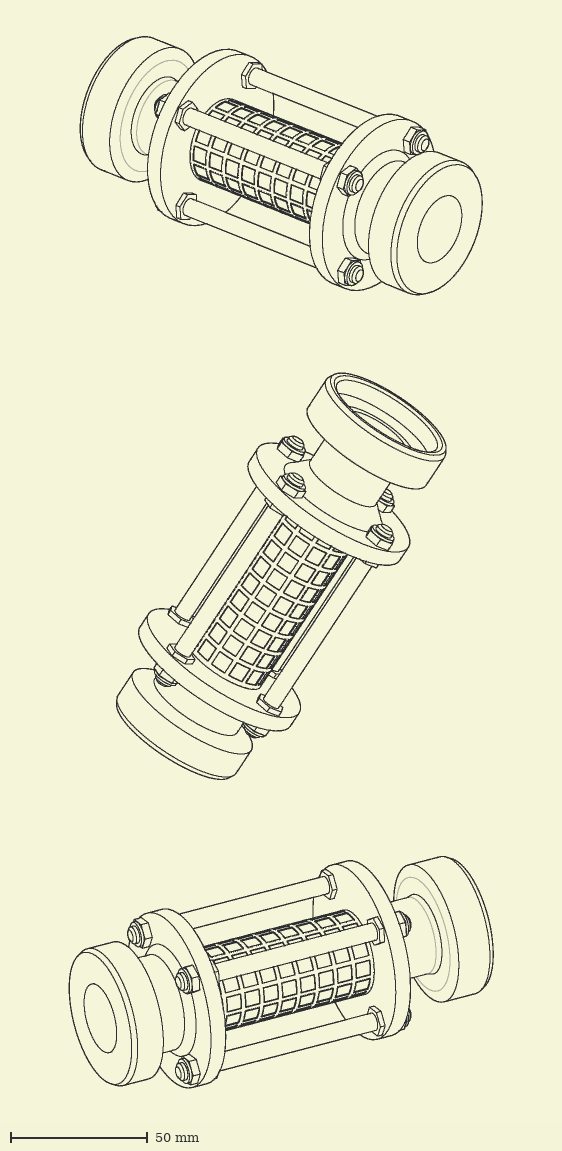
import cadquery as cq
import math

total_length = 149.0
bore_radius = 13.0

flange_radius = 33.0
flange_thickness = 6.1
left_flange_x = 38.3
flange_gap = 70.0
left_inner_face = left_flange_x + flange_thickness
right_inner_face = left_inner_face + flange_gap
right_outer_face = right_inner_face + flange_thickness
flare_radius = 21.2

ring_radius = 26.0
ring_end_radius = 24.9
ring_chamfer_length = 2.0
nut_shoulder_x = 14.8
nut_length = 16.1
nut_back_radius = 21.5
nut_mouth_radius = 23.2
thread_radius = 21.8
mouth_chamfer_length = 0.9
thread_end_x = 7.0
relief_radius = 23.2

liner_pipe_radius = 14.5
liner_nose_x = 8.5
liner_nose_radius = 16.0
liner_nose_base_radius = 17.0
collar_x = 12.8
collar_thickness = 1.3
collar_back_x = collar_x + collar_thickness
neck_radius = 15.0
neck_end_x = 18.2
liner_flare_x = left_flange_x - (flare_radius - liner_pipe_radius)

male_pipe_radius = 18.0
male_flare_end_x = right_outer_face + flare_radius - male_pipe_radius
male_ring_x = 136.5
male_cone_length = 2.5

glass_radius = 15.5
cage_radius = 16.0
window_size = 5.8
window_pitch = 7.6
window_rows = 9
windows_around = 13
first_window_x = left_inner_face + 1.5

bolt_count = 4
bolt_circle_radius = 27.0
bolt_radius = 3.3
bolt_tip_radius = 2.2
bolt_tip_length = 0.9
bolt_overhang = 6.3
hex_across_flats = 9.5
hex_turn = 9.0
outer_hex_height = 3.0
inner_hex_height = 2.0
hex_boss_radius = 4.6
hex_boss_height = 1.0


def revolve_about_x(points):
    """Revolve a closed profile of (x, radius) points about the X axis."""
    return cq.Workplane("XY").polyline(points).close().revolve(360, (0, 0, 0), (1, 0, 0))


def x_cylinder(radius, start, end, y=0.0, z=0.0):
    return cq.Workplane("YZ", origin=(start, y, z)).circle(radius).extrude(end - start)


def x_tube(outer_radius, inner_radius, start, end):
    plane = cq.Workplane("YZ", origin=(start, 0, 0))
    return plane.circle(outer_radius).circle(inner_radius).extrude(end - start)


def drill_bolt_holes(body):
    for index in range(bolt_count):
        y, z = bolt_position(index)
        body = body.cut(x_cylinder(bolt_radius, left_flange_x, right_outer_face, y, z))
    return body


def bolt_angle(index):
    return 45.0 + index * 360.0 / bolt_count


def bolt_position(index):
    angle = math.radians(bolt_angle(index))
    return bolt_circle_radius * math.cos(angle), bolt_circle_radius * math.sin(angle)


def make_union_nut():
    return revolve_about_x([
        (0, nut_mouth_radius),
        (0, ring_end_radius),
        (ring_chamfer_length, ring_radius),
        (nut_shoulder_x, ring_radius),
        (nut_length, nut_back_radius),
        (nut_length, neck_radius),
        (collar_back_x, neck_radius),
        (collar_back_x, relief_radius),
        (thread_end_x, relief_radius),
        (thread_end_x, thread_radius),
        (mouth_chamfer_length, thread_radius),
    ])


def make_liner():
    """Left pipe end with its nose, the collar behind the nut, the flare and the flange."""
    liner = revolve_about_x([
        (liner_nose_x, bore_radius),
        (liner_nose_x, liner_nose_radius),
        (collar_x, liner_nose_base_radius),
        (collar_x, relief_radius),
        (collar_back_x, relief_radius),
        (collar_back_x, neck_radius),
        (nut_length, neck_radius),
        (neck_end_x, liner_pipe_radius),
        (liner_flare_x, liner_pipe_radius),
        (left_flange_x, flare_radius),
        (left_flange_x, flange_radius),
        (left_inner_face, flange_radius),
        (left_inner_face, bore_radius),
    ])
    return drill_bolt_holes(liner)


def make_male_end():
    """Right flange with its flare, pipe and threaded ring."""
    male_end = revolve_about_x([
        (right_inner_face, bore_radius),
        (right_inner_face, flange_radius),
        (right_outer_face, flange_radius),
        (right_outer_face, flare_radius),
        (male_flare_end_x, male_pipe_radius),
        (male_ring_x - male_cone_length, male_pipe_radius),
        (male_ring_x, ring_radius),
        (total_length - ring_chamfer_length, ring_radius),
        (total_length, ring_end_radius),
        (total_length, bore_radius),
    ])
    return drill_bolt_holes(male_end)


def make_glass():
    return x_tube(glass_radius, bore_radius, left_inner_face, right_inner_face)


def make_cage():
    """Thin sleeve on the glass, with rings of square windows."""
    cage = x_tube(cage_radius, glass_radius, left_inner_face, right_inner_face)
    for row in range(window_rows):
        middle_x = first_window_x + window_size / 2 + row * window_pitch
        for index in range(windows_around):
            bar = cq.Workplane("XY").rect(window_size, window_size).extrude(flange_radius)
            bar = bar.rotate((0, 0, 0), (1, 0, 0), index * 360.0 / windows_around)
            cage = cage.cut(bar.translate((middle_x, 0, 0)))
    return cage


def make_hex(start, height, y, z, turn):
    across_corners = hex_across_flats / math.cos(math.radians(30))
    hexagon = cq.Workplane("YZ").polygon(6, across_corners).extrude(height)
    return hexagon.rotate((0, 0, 0), (1, 0, 0), turn).translate((start, y, z))


def make_tie_bolt(index):
    """Rod with tapered tips and a nut on either face of both flanges."""
    y, z = bolt_position(index)
    start = left_flange_x - bolt_overhang
    end = right_outer_face + bolt_overhang
    rod = revolve_about_x([
        (start, 0),
        (start, bolt_tip_radius),
        (start + bolt_tip_length, bolt_radius),
        (end - bolt_tip_length, bolt_radius),
        (end, bolt_tip_radius),
        (end, 0),
    ])
    bolt = rod.translate((0, y, z))
    turn = bolt_angle(index) - hex_turn
    left_hex_x = left_flange_x - outer_hex_height
    right_hex_end = right_outer_face + outer_hex_height
    bolt = bolt.union(make_hex(left_hex_x, outer_hex_height, y, z, turn))
    bolt = bolt.union(make_hex(left_inner_face, inner_hex_height, y, z, turn))
    bolt = bolt.union(make_hex(right_inner_face - inner_hex_height, inner_hex_height, y, z, turn))
    bolt = bolt.union(make_hex(right_outer_face, outer_hex_height, y, z, turn))
    bolt = bolt.union(x_cylinder(hex_boss_radius, left_hex_x - hex_boss_height, left_hex_x, y, z))
    return bolt.union(x_cylinder(hex_boss_radius, right_hex_end, right_hex_end + hex_boss_height, y, z))


union_nut = make_union_nut()
liner = make_liner()
male_end = make_male_end()
glass = make_glass()
cage = make_cage()
tie_bolts = [make_tie_bolt(index) for index in range(bolt_count)]

result = cq.Compound.makeCompound([
    union_nut.val(),
    liner.val(),
    male_end.val(),
    glass.val(),
    cage.val(),
    *[bolt.val() for bolt in tie_bolts],
])